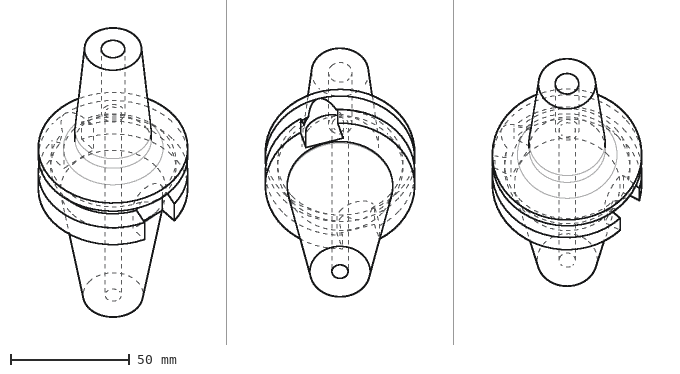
import cadquery as cq
import math

total_height = 154.3
gauge_z = 65.5
flange_bottom_z = 66.3
lower_rim_top_z = 77.0
groove_bottom_z = 80.1
groove_top_z = 84.5
upper_rim_bottom_z = 87.3
flange_top_z = 92.5
nose_base_z = 103.4

flange_radius = 31.5
groove_radius = 26.4
gauge_radius = 22.2
taper_half_slope = 7 / 48
shank_end_radius = gauge_radius - gauge_z * taper_half_slope
neck_radius = 16.0
neck_fillet = 5.0
nose_tip_radius = 12.0

tool_bore_diameter = 9.9
tool_bore_depth = 40.1
through_bore_diameter = 6.8

slot_width = 16.4
slot_floor_distance = 22.5
slot_top_z = upper_rim_bottom_z


def make_body():
    """Revolved shank, V-grooved flange, filleted neck and tapered nose."""
    fillet_center_r = neck_radius + neck_fillet
    fillet_center_z = flange_top_z + neck_fillet
    fillet_offset = neck_fillet * math.sqrt(0.5)
    profile = (
        cq.Workplane("XZ")
        .moveTo(0, 0)
        .lineTo(shank_end_radius, 0)
        .lineTo(gauge_radius, gauge_z)
        .lineTo(gauge_radius, flange_bottom_z)
        .lineTo(flange_radius, flange_bottom_z)
        .lineTo(flange_radius, lower_rim_top_z)
        .lineTo(groove_radius, groove_bottom_z)
        .lineTo(groove_radius, groove_top_z)
        .lineTo(flange_radius, upper_rim_bottom_z)
        .lineTo(flange_radius, flange_top_z)
        .lineTo(fillet_center_r, flange_top_z)
        .threePointArc(
            (fillet_center_r - fillet_offset, fillet_center_z - fillet_offset),
            (neck_radius, fillet_center_z),
        )
        .lineTo(neck_radius, nose_base_z)
        .lineTo(nose_tip_radius, total_height)
        .lineTo(0, total_height)
        .close()
    )
    return profile.revolve(360, (0, 0, 0), (0, 1, 0))


def make_slot(side):
    """Round-topped cutter for a drive slot; side is -1 or +1 along X."""
    half_width = slot_width / 2
    arc_center_z = slot_top_z - half_width
    return (
        cq.Workplane("YZ", origin=(side * slot_floor_distance, 0, 0))
        .moveTo(-half_width, flange_bottom_z)
        .lineTo(half_width, flange_bottom_z)
        .lineTo(half_width, arc_center_z)
        .threePointArc((0, slot_top_z), (-half_width, arc_center_z))
        .close()
        .extrude(side * flange_radius)
    )


def cut_bores(body):
    """Tool bore from the nose tip, continued by a narrower through bore."""
    return (
        body.faces(">Z")
        .workplane(origin=(0, 0, total_height))
        .cboreHole(through_bore_diameter, tool_bore_diameter, tool_bore_depth)
    )


result = cut_bores(make_body())
for slot_side in (-1, 1):
    result = result.cut(make_slot(slot_side))